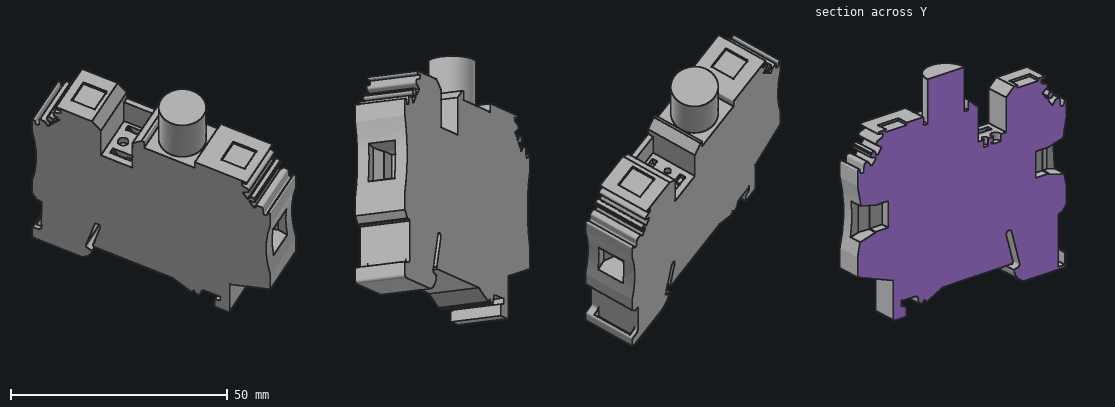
import cadquery as cq
import math

LENGTH = 62.0
WIDTH = 13.0
HEIGHT = 59.7
TOP_Z = 50.45
OVERCUT = 0.6

SHOULDER_X = 8.7
SHOULDER_Z = 38.45
ROLL_DIAMETER = 1.7
ROLL_CENTRE = (4.7, 45.15)
ROLL_NECK = 0.75
ROLL_GROOVE_DIAMETER = 0.4
ROLL_GROOVE_ANGLE = 150.0
FLANK_LOW = (4.2, 42.4)
FLANK_HIGH = (7.1, 46.25)

WAIST_DEPTH = 1.1
WAIST_BOTTOM = 20.45
WAIST_MIDDLE = (SHOULDER_Z + WAIST_BOTTOM) / 2

FOOT_WALL_X = 2.5
FOOT_TOP = 3.9
FOOT_TOP_RADIUS = 0.6
FOOT_BOTTOM_RADIUS = 0.8
GUSSET_RADIUS = 1.05
GUSSET_WIDTH_BACK = 2.05
GUSSET_WIDTH_FRONT = 1.05
FOOT_SLOT_FLOOR = FOOT_BOTTOM_RADIUS

UNDERSIDE_Z = 5.4
KEEL_Z = 3.1
SPRING_SLOT_TOP = ((16.3, 13.5), (17.25, 14.2), (17.8, 13.2))

LEFT_WALL_BOTTOM = 16.05
RIGHT_WALL_BOTTOM = 15.25
HOOK_WALL_TOP = 11.35

HOOK_RIGHT = 51.45
HOOK_BOTTOM = 1.05
HOOK_RADIUS = 0.6

POCKET_LEFT = 18.0
POCKET_RIGHT = 26.15
POCKET_FLOOR = 39.5
POCKET_WALL = 1.4
POCKET_WALL_TOP = 46.3
FLANK_FOOT_Z = 48.35
LEFT_FLANK_CREST = 15.6
RIGHT_FLANK_CREST = 28.5

LEDGE_LEFT = 29.2
LEDGE_RIGHT = 42.3
LEDGE_Z = 48.35
CREST_RADIUS = 0.2
RIM_RADIUS = 0.4
POST_X = 35.8
POST_DIAMETER = 11.0

SQUARE_SIZE = 6.1
SQUARE_OFFSET = 11.55
SQUARE_DEPTH = 0.6

LARGE_HOLE = (20.65, -0.5, 2.4)
SMALL_HOLE = (23.9, -0.5, 1.5)
HOLE_DEPTH = 1.85
SLOT_LEFT = 19.45
SLOT_RIGHT = 24.75
SLOT_DEPTH = 1.85
BACK_SLOT = (3.0, 4.3)
FRONT_SLOT = (-4.85, -3.35)
SLOT_SHELF_END = 19.95
SLOT_SLOPE_END = 20.7
SLOT_SHELF_DEPTH = 0.6
SLOT_STEP_X = 23.1
SLOT_STEP_HEIGHT = 0.6

ENTRY_WIDTH = 6.9
ENTRY_BOTTOM = 24.05
ENTRY_TOP = 33.1
ENTRY_STRAIGHT = 2.0
ENTRY_DEPTH = 4.2
ENTRY_RISE = 1.1
THROAT_BACK = 1.85
THROAT_FRONT = -2.3
CLAMP_STEP = 0.2
CLAMP_DEPTH = 3.7


def extrude_across(profile):
    """Extrude a closed XZ profile over the full width, centred on Y = 0."""
    return profile.extrude(WIDTH / 2, both=True)


def block(x_range, y_range, z_range):
    """Axis-aligned box between the given limits."""
    size = [high - low for low, high in (x_range, y_range, z_range)]
    return cq.Workplane("XY").box(*size, centered=False).translate(
        (x_range[0], y_range[0], z_range[0])
    )


def mirror_end(solid):
    """Copy a feature of the left end to the right end."""
    return solid.mirror("YZ", (LENGTH / 2, 0, 0))


def housing():
    profile = (
        cq.Workplane("XZ")
        .moveTo(0, SHOULDER_Z)
        .threePointArc((WAIST_DEPTH, WAIST_MIDDLE), (0, WAIST_BOTTOM))
        .lineTo(0, LEFT_WALL_BOTTOM)
        .lineTo(1.25, 14.3)
        .lineTo(2.0, 14.25)
        .lineTo(FOOT_WALL_X, 13.95)
        .lineTo(FOOT_WALL_X, FOOT_TOP)
        .lineTo(FOOT_TOP_RADIUS, FOOT_TOP)
        .radiusArc((0, FOOT_TOP - FOOT_TOP_RADIUS), -FOOT_TOP_RADIUS)
        .lineTo(0, FOOT_BOTTOM_RADIUS)
        .radiusArc((FOOT_BOTTOM_RADIUS, 0), -FOOT_BOTTOM_RADIUS)
        .lineTo(12.7, 0)
        .threePointArc((14.9, 1.7), (15.7, 3.8))
        .lineTo(14.4, 4.15)
        .threePointArc((14.1, 4.45), (14.1, 5.1))
        .lineTo(*SPRING_SLOT_TOP[0])
        .threePointArc(*SPRING_SLOT_TOP[1:])
        .lineTo(15.8, 5.9)
        .lineTo(16.2, UNDERSIDE_Z)
        .lineTo(36.6, UNDERSIDE_Z)
        .lineTo(41.2, KEEL_Z)
        .lineTo(41.65, KEEL_Z)
        .lineTo(42.1, 3.85)
        .lineTo(42.6, KEEL_Z)
        .lineTo(43.5, KEEL_Z)
        .lineTo(43.9, 3.8)
        .lineTo(44.1, 4.7)
        .threePointArc((44.3, 5.2), (44.8, UNDERSIDE_Z))
        .lineTo(48.2, UNDERSIDE_Z)
        .lineTo(48.9, 5.6)
        .lineTo(48.9, 4.2)
        .lineTo(47.7, 3.7)
        .threePointArc((47.5, 3.6), (47.4, 3.4))
        .lineTo(47.4, HOOK_BOTTOM)
        .lineTo(HOOK_RIGHT - HOOK_RADIUS, HOOK_BOTTOM)
        .radiusArc((HOOK_RIGHT, HOOK_BOTTOM + HOOK_RADIUS), -HOOK_RADIUS)
        .lineTo(HOOK_RIGHT, HOOK_WALL_TOP)
        .lineTo(LENGTH, RIGHT_WALL_BOTTOM)
        .lineTo(LENGTH, WAIST_BOTTOM)
        .threePointArc((LENGTH - WAIST_DEPTH, WAIST_MIDDLE), (LENGTH, SHOULDER_Z))
        .lineTo(LENGTH - SHOULDER_X, SHOULDER_Z)
        .lineTo(LENGTH - SHOULDER_X, TOP_Z)
        .lineTo(LEDGE_RIGHT + RIM_RADIUS, TOP_Z)
        .radiusArc((LEDGE_RIGHT, TOP_Z - RIM_RADIUS), -RIM_RADIUS)
        .lineTo(LEDGE_RIGHT, LEDGE_Z)
        .lineTo(LEDGE_LEFT, LEDGE_Z)
        .lineTo(LEDGE_LEFT, TOP_Z - CREST_RADIUS)
        .radiusArc((LEDGE_LEFT - CREST_RADIUS, TOP_Z), -CREST_RADIUS)
        .lineTo(RIGHT_FLANK_CREST, TOP_Z)
        .lineTo(POCKET_RIGHT, FLANK_FOOT_Z)
        .lineTo(POCKET_RIGHT, POCKET_WALL_TOP)
        .lineTo(POCKET_LEFT, POCKET_WALL_TOP)
        .lineTo(POCKET_LEFT, FLANK_FOOT_Z)
        .lineTo(LEFT_FLANK_CREST, TOP_Z)
        .lineTo(SHOULDER_X, TOP_Z)
        .lineTo(SHOULDER_X, SHOULDER_Z)
        .close()
    )
    return extrude_across(profile)


def shoulder():
    """Ridged upper corner of the left end, with the roll on its flank."""
    ridges = extrude_across(
        cq.Workplane("XZ")
        .moveTo(SHOULDER_X, SHOULDER_Z)
        .lineTo(0, SHOULDER_Z)
        .lineTo(0, 42.15)
        .threePointArc((0.45, 42.6), (0.85, 42.15))
        .lineTo(0.85, 41.9)
        .threePointArc((1.35, 41.4), (1.85, 41.9))
        .lineTo(1.9, 43.2)
        .threePointArc((2.1, 43.6), (2.5, 43.7))
        .lineTo(2.9, 43.7)
        .threePointArc((3.2, 43.65), (3.5, 43.45))
        .lineTo(*FLANK_LOW)
        .lineTo(*FLANK_HIGH)
        .lineTo(5.95, 47.1)
        .threePointArc((5.6, 47.7), (5.95, 48.3))
        .lineTo(7.1, 48.75)
        .tangentArcPoint((7.5, 49.2), relative=False)
        .lineTo(7.5, 49.7)
        .lineTo(6.6, 49.7)
        .threePointArc((6.2, 50.1), (6.6, TOP_Z))
        .lineTo(SHOULDER_X, TOP_Z)
        .close()
    )
    roll = extrude_across(
        cq.Workplane("XZ").center(*ROLL_CENTRE).circle(ROLL_DIAMETER / 2)
    )
    flank_angle = math.degrees(
        math.atan2(FLANK_HIGH[1] - FLANK_LOW[1], FLANK_HIGH[0] - FLANK_LOW[0])
    )
    neck_reach = ROLL_DIAMETER + OVERCUT
    neck = extrude_across(
        cq.Workplane("XZ")
        .center(*ROLL_CENTRE)
        .transformed(rotate=(0, 0, flank_angle))
        .center(0, -neck_reach / 2)
        .rect(ROLL_NECK, neck_reach)
    )
    groove_angle = math.radians(ROLL_GROOVE_ANGLE)
    groove = extrude_across(
        cq.Workplane("XZ")
        .center(
            ROLL_CENTRE[0] + ROLL_DIAMETER / 2 * math.cos(groove_angle),
            ROLL_CENTRE[1] + ROLL_DIAMETER / 2 * math.sin(groove_angle),
        )
        .circle(ROLL_GROOVE_DIAMETER / 2)
    )
    return ridges.union(roll.cut(groove)).union(neck)


def foot_gusset(back_y, width):
    """Concave fillet between foot and wall, reaching forward from back_y."""
    return (
        cq.Workplane("XZ", origin=(0, back_y, 0))
        .moveTo(FOOT_WALL_X, FOOT_TOP)
        .lineTo(FOOT_WALL_X, FOOT_TOP + GUSSET_RADIUS)
        .radiusArc((FOOT_WALL_X - GUSSET_RADIUS, FOOT_TOP), GUSSET_RADIUS)
        .close()
        .extrude(width)
    )


def foot_slot():
    """Tool slot behind the rounded front lip of the foot, between the gussets."""
    return block(
        (FOOT_TOP_RADIUS, FOOT_WALL_X),
        (GUSSET_WIDTH_FRONT - WIDTH / 2, WIDTH / 2 - GUSSET_WIDTH_BACK),
        (FOOT_SLOT_FLOOR, FOOT_TOP + OVERCUT),
    )


def post():
    return (
        cq.Workplane("XY", origin=(POST_X, 0, LEDGE_Z))
        .circle(POST_DIAMETER / 2)
        .extrude(HEIGHT - LEDGE_Z)
    )


def pocket():
    return block(
        (POCKET_LEFT, POCKET_RIGHT),
        (-WIDTH / 2 - OVERCUT, WIDTH / 2 - POCKET_WALL),
        (POCKET_FLOOR, TOP_Z),
    )


def floor_hole(x, y, diameter):
    return (
        cq.Workplane("XY", origin=(x, y, POCKET_FLOOR - HOLE_DEPTH))
        .circle(diameter / 2)
        .extrude(HOLE_DEPTH + OVERCUT)
    )


def floor_slot(y_range, step_x=SLOT_RIGHT):
    """Slot with a shelf and a slope at its left end; right of step_x it is shallower."""
    bottom = POCKET_FLOOR - SLOT_DEPTH
    shelf = POCKET_FLOOR - SLOT_SHELF_DEPTH
    main = (
        cq.Workplane("XZ", origin=(0, y_range[1], 0))
        .moveTo(SLOT_LEFT, POCKET_FLOOR)
        .lineTo(SLOT_LEFT, shelf)
        .lineTo(SLOT_SHELF_END, shelf)
        .lineTo(SLOT_SLOPE_END, bottom)
        .lineTo(step_x, bottom)
        .lineTo(step_x, POCKET_FLOOR)
        .close()
        .extrude(y_range[1] - y_range[0])
    )
    if step_x < SLOT_RIGHT:
        main = main.union(
            block((step_x, SLOT_RIGHT), y_range, (bottom + SLOT_STEP_HEIGHT, POCKET_FLOOR))
        )
    return main


def square_recess():
    return block(
        (SQUARE_OFFSET - SQUARE_SIZE / 2, SQUARE_OFFSET + SQUARE_SIZE / 2),
        (-SQUARE_SIZE / 2, SQUARE_SIZE / 2),
        (TOP_Z - SQUARE_DEPTH, TOP_Z + OVERCUT),
    )


def wire_entry():
    """Funnel in the left end: sides, floor and roof close in towards a clamp hole."""
    half = ENTRY_WIDTH / 2
    straight_x = WAIST_DEPTH + ENTRY_STRAIGHT
    throat_x = WAIST_DEPTH + ENTRY_DEPTH
    throat_bottom = ENTRY_BOTTOM + ENTRY_RISE
    throat_top = ENTRY_TOP - ENTRY_RISE
    plan = (
        cq.Workplane("XY")
        .polyline([
            (0, half),
            (straight_x, half),
            (throat_x, THROAT_BACK),
            (throat_x, THROAT_FRONT),
            (straight_x, -half),
            (0, -half),
        ])
        .close()
        .extrude(TOP_Z)
    )
    side = extrude_across(
        cq.Workplane("XZ")
        .polyline([
            (0, ENTRY_BOTTOM),
            (WAIST_DEPTH, ENTRY_BOTTOM),
            (throat_x, throat_bottom),
            (throat_x, throat_top),
            (WAIST_DEPTH, ENTRY_TOP),
            (0, ENTRY_TOP),
        ])
        .close()
    )
    clamp_hole = block(
        (throat_x, throat_x + CLAMP_DEPTH),
        (THROAT_FRONT + CLAMP_STEP, THROAT_BACK - CLAMP_STEP),
        (throat_bottom + CLAMP_STEP, throat_top),
    )
    return plan.intersect(side).union(clamp_hole)


left_shoulder = shoulder()
result = housing().union(left_shoulder).union(mirror_end(left_shoulder))
result = result.union(foot_gusset(WIDTH / 2, GUSSET_WIDTH_BACK))
result = result.union(foot_gusset(GUSSET_WIDTH_FRONT - WIDTH / 2, GUSSET_WIDTH_FRONT))
result = result.union(post())
result = result.cut(pocket()).cut(foot_slot())

for hole in (LARGE_HOLE, SMALL_HOLE):
    result = result.cut(floor_hole(*hole))
result = result.cut(floor_slot(BACK_SLOT))
result = result.cut(floor_slot(FRONT_SLOT, SLOT_STEP_X))

for end_cut in (square_recess(), wire_entry()):
    result = result.cut(end_cut).cut(mirror_end(end_cut))